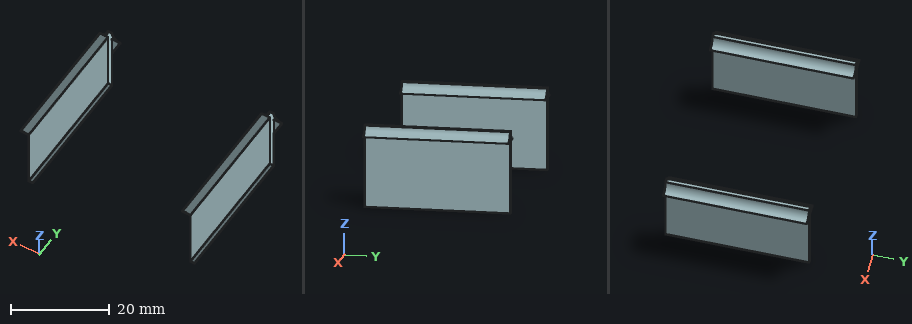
import cadquery as cq
import math

overall_width = 43.75
strip_length = 30.0
strip_height = 17.0
head_width = 4.9
web_thickness = 0.95

half_head = head_width / 2
half_web = web_thickness / 2
flare_radius = half_head - half_web
head_bottom = strip_height - flare_radius
strip_offset = (overall_width - head_width) / 2

arc_reach = flare_radius * math.sqrt(0.5)
arc_mid_x = half_head - arc_reach
arc_mid_z = strip_height - arc_reach


def make_strip(center_x):
    """T-shaped strip: a thin web under a head whose sides flare out to sharp edges."""
    return (
        cq.Workplane("XZ", origin=(center_x, strip_length / 2, 0))
        .moveTo(-half_web, 0)
        .lineTo(half_web, 0)
        .lineTo(half_web, head_bottom)
        .lineTo(half_head, head_bottom)
        .threePointArc((arc_mid_x, arc_mid_z), (half_web, strip_height))
        .lineTo(-half_web, strip_height)
        .threePointArc((-arc_mid_x, arc_mid_z), (-half_head, head_bottom))
        .lineTo(-half_web, head_bottom)
        .close()
        .extrude(strip_length)
    )


strips = []
for center_x in (-strip_offset, strip_offset):
    strips.append(make_strip(center_x).val())

result = cq.Compound.makeCompound(strips)